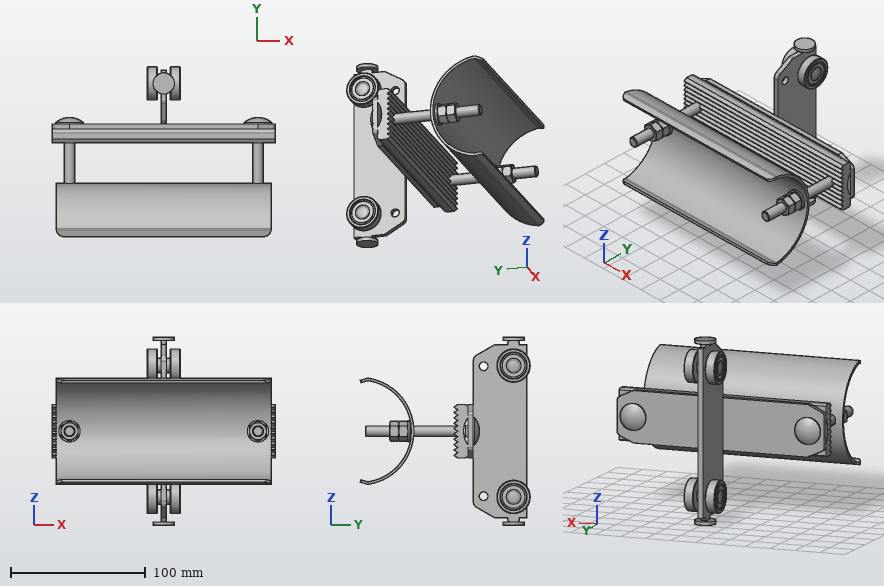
import cadquery as cq
import math


PLATE_THICKNESS = 4.0
PLATE_DEPTH = 40.0
PLATE_HALF_HEIGHT = 64.4
PLATE_FLAT_END_Y = 16.0
PLATE_SLOPE_DEG = 30
PLATE_FRONT_RADIUS = 5.0
PLATE_BEVEL_RADIUS = 3.0
PLATE_HOLE_Y = 7.8
PLATE_HOLE_Z = 48.3
PLATE_HOLE_DIAMETER = 6.3

WHEEL_Y = 30.0
WHEEL_Z = 48.8
WHEEL_RADIUS = 12.5
WHEEL_INNER_X = 4.8
WHEEL_OUTER_X = 12.3
WHEEL_EDGE_CHAMFER = 0.5
AXLE_RADIUS = 5.5
SHIELD_INNER_RADIUS = 8.5
SHIELD_OUTER_RADIUS = 10.1
SHIELD_BEVEL = 0.5
RIVET_RADIUS = 4.3
FACE_RECESS_DEPTH = 0.5

DISC_RADIUS = 8.0
DISC_THICKNESS = 2.7
OVERALL_HEIGHT = 140.0
DISC_OUTER_Z = OVERALL_HEIGHT / 2
DISC_INNER_Z = DISC_OUTER_Z - DISC_THICKNESS
STEM_WIDTH = 8.8
STEM_CORNER_RADIUS = 1.7

BAR_HALF_LENGTH = 83.0
BAR_HALF_HEIGHT = 20.0
BAR_THICKNESS = 4.0
BAR_CORNER_LENGTH = 13.0
BAR_CORNER_DROP = 6.0
BAR_CORNER_RADIUS = 3.0

PAD_TIP_Y = -14.1
TOOTH_COUNT = 10
TOOTH_PITCH = 2 * BAR_HALF_HEIGHT / TOOTH_COUNT
TOOTH_DEPTH = 2.7
TOOTH_TIP_WIDTH = 0.5
PAD_BACK_ROUND_RADIUS = 4.0
PAD_BACK_ROUND_LENGTH = 2.8
PAD_BACK_ROUND_DROP = 1.2
CHANNEL_HALF_WIDTH = 9.8
CHANNEL_DEPTH = 3.2

BOLT_X = BAR_HALF_LENGTH - BAR_CORNER_LENGTH
BOLT_DIAMETER = 8.1
BOLT_LENGTH = 80.2
BOLT_CHAMFER = 0.7
HEAD_RADIUS = 10.3
HEAD_HEIGHT = 4.8
HEAD_RIM = 1.0
NECK_WIDTH = 8.6
NECK_LENGTH = 5.6
NECK_CORNER_RADIUS = 1.5
WASHER_RADIUS = 8.0
WASHER_THICKNESS = 1.7
NUT_WIDTH = 13.0
NUT_HEIGHT = 6.8
NUT_COUNT = 2
NUT_FACE_RADIUS = 6.3
NUT_CHAMFER_DEG = 30

SHELL_HALF_LENGTH = 80.0
SHELL_RADIUS = 40.0
SHELL_THICKNESS = 2.0
SHELL_AXIS_Y = -84.0
SHELL_ARC_END_DEG = 8
LIP_DROOP_DEG = 17
LIP_BEND_RADIUS = 3.0
LIP_CORNER_RADIUS = 6.0
SHELL_HOLE_DIAMETER = 9.0

SIDES = (-1, 1)


def cylinder_along_y(radius, start_y, length, x=0):
    """Cylinder on the mid-height plane that runs from start_y toward -Y."""
    return cq.Workplane("XZ", origin=(x, start_y, 0)).circle(radius).extrude(length)


def make_trolley_plate():
    """Plate with bevelled front corners and a stem for a guide disc at each end."""
    front_z = PLATE_HALF_HEIGHT - PLATE_FLAT_END_Y * math.tan(math.radians(PLATE_SLOPE_DEG))
    stem_front_y = WHEEL_Y - STEM_WIDTH / 2
    stem_back_y = WHEEL_Y + STEM_WIDTH / 2
    upper_outline = [
        (PLATE_DEPTH, PLATE_HALF_HEIGHT),
        (stem_back_y, PLATE_HALF_HEIGHT),
        (stem_back_y, DISC_INNER_Z),
        (stem_front_y, DISC_INNER_Z),
        (stem_front_y, PLATE_HALF_HEIGHT),
        (PLATE_FLAT_END_Y, PLATE_HALF_HEIGHT),
        (0, front_z),
    ]
    lower_outline = [(y, -z) for y, z in reversed(upper_outline)]
    plate = (
        cq.Workplane("YZ")
        .polyline(upper_outline + lower_outline)
        .close()
        .extrude(PLATE_THICKNESS / 2, both=True)
    )
    plate = plate.edges("|X").edges("<Y").fillet(PLATE_FRONT_RADIUS)
    for side in SIDES:
        bevel_end = cq.selectors.NearestToPointSelector(
            (0, PLATE_FLAT_END_Y, side * PLATE_HALF_HEIGHT)
        )
        plate = plate.edges("|X").edges(bevel_end).fillet(PLATE_BEVEL_RADIUS)
    plate = plate.edges("|X").edges("<Z or >Z").fillet(STEM_CORNER_RADIUS)
    holes = (
        cq.Workplane("YZ")
        .pushPoints([(PLATE_HOLE_Y, side * PLATE_HOLE_Z) for side in SIDES])
        .circle(PLATE_HOLE_DIAMETER / 2)
        .extrude(PLATE_THICKNESS, both=True)
    )
    return plate.cut(holes)


def make_wheel_pair():
    """Two wheels on one axle, centred on the X axis."""
    face_x = WHEEL_OUTER_X
    recess_x = WHEEL_OUTER_X - FACE_RECESS_DEPTH
    shoulder = WHEEL_RADIUS - WHEEL_EDGE_CHAMFER
    dome_radius = (RIVET_RADIUS**2 + FACE_RECESS_DEPTH**2) / (2 * FACE_RECESS_DEPTH)
    half_section = (
        cq.Workplane("XY")
        .moveTo(0, 0)
        .lineTo(face_x, 0)
        .radiusArc((recess_x, RIVET_RADIUS), -dome_radius)
        .lineTo(recess_x, AXLE_RADIUS)
        .lineTo(face_x, AXLE_RADIUS)
        .lineTo(face_x, SHIELD_INNER_RADIUS)
        .lineTo(recess_x, SHIELD_INNER_RADIUS)
        .lineTo(recess_x, SHIELD_OUTER_RADIUS - SHIELD_BEVEL)
        .lineTo(face_x, SHIELD_OUTER_RADIUS)
        .lineTo(face_x, shoulder)
        .lineTo(face_x - WHEEL_EDGE_CHAMFER, WHEEL_RADIUS)
        .lineTo(WHEEL_INNER_X + WHEEL_EDGE_CHAMFER, WHEEL_RADIUS)
        .lineTo(WHEEL_INNER_X, shoulder)
        .lineTo(WHEEL_INNER_X, AXLE_RADIUS)
        .lineTo(0, AXLE_RADIUS)
        .close()
    )
    wheel = half_section.revolve(360, (0, 0, 0), (1, 0, 0))
    return wheel.union(wheel.mirror("YZ"))


def make_guide_disc():
    """Guide disc on the upper stem of the trolley plate."""
    return (
        cq.Workplane("XY", origin=(0, WHEEL_Y, DISC_INNER_Z))
        .circle(DISC_RADIUS)
        .extrude(DISC_THICKNESS)
    )


def make_crossbar():
    corner_z = BAR_HALF_HEIGHT - BAR_CORNER_DROP
    outline = []
    for side_x, side_z in ((1, 1), (1, -1), (-1, -1), (-1, 1)):
        sloped_corner = [
            (side_x * BOLT_X, side_z * BAR_HALF_HEIGHT),
            (side_x * BAR_HALF_LENGTH, side_z * corner_z),
        ]
        outline += sloped_corner if side_x == side_z else sloped_corner[::-1]
    bar = cq.Workplane("XZ").polyline(outline).close().extrude(BAR_THICKNESS)
    end_edges = bar.edges("|Y").edges("<X or >X")
    return end_edges.fillet(BAR_CORNER_RADIUS)


def make_pad():
    back_y = -BAR_THICKNESS
    root_y = PAD_TIP_Y + TOOTH_DEPTH
    round_end_y = back_y - PAD_BACK_ROUND_LENGTH
    back_z = BAR_HALF_HEIGHT - PAD_BACK_ROUND_DROP
    profile = (
        cq.Workplane("YZ")
        .moveTo(back_y, back_z)
        .radiusArc((round_end_y, BAR_HALF_HEIGHT), -PAD_BACK_ROUND_RADIUS)
        .lineTo(root_y, BAR_HALF_HEIGHT)
    )
    for tooth in range(TOOTH_COUNT):
        tooth_top_z = BAR_HALF_HEIGHT - tooth * TOOTH_PITCH
        tip_z = tooth_top_z - TOOTH_PITCH / 2
        profile = profile.lineTo(PAD_TIP_Y, tip_z + TOOTH_TIP_WIDTH / 2)
        profile = profile.lineTo(PAD_TIP_Y, tip_z - TOOTH_TIP_WIDTH / 2)
        profile = profile.lineTo(root_y, tooth_top_z - TOOTH_PITCH)
    profile = (
        profile.lineTo(round_end_y, -BAR_HALF_HEIGHT)
        .radiusArc((back_y, -back_z), -PAD_BACK_ROUND_RADIUS)
        .lineTo(back_y, -CHANNEL_HALF_WIDTH)
        .threePointArc((back_y - CHANNEL_DEPTH, 0), (back_y, CHANNEL_HALF_WIDTH))
        .close()
    )
    return profile.extrude(BAR_HALF_LENGTH, both=True)


def make_bolt():
    """Carriage bolt at X = 0, its head resting on the back of the crossbar."""
    shank = cylinder_along_y(BOLT_DIAMETER / 2, 0, BOLT_LENGTH).faces("<Y").chamfer(BOLT_CHAMFER)
    neck = (
        cq.Workplane("XZ")
        .rect(NECK_WIDTH, NECK_WIDTH)
        .extrude(NECK_LENGTH)
        .edges("|Y")
        .fillet(NECK_CORNER_RADIUS)
    )
    crown = HEAD_HEIGHT - HEAD_RIM
    crown_radius = (HEAD_RADIUS**2 + crown**2) / (2 * crown)
    head = (
        cq.Workplane("XY")
        .lineTo(HEAD_RADIUS, 0)
        .lineTo(HEAD_RADIUS, HEAD_RIM)
        .radiusArc((0, HEAD_HEIGHT), -crown_radius)
        .close()
        .revolve(360, (0, 0, 0), (0, 1, 0))
    )
    return shank.union(neck).union(head)


def make_nut(back_y):
    """Hexagon nut with corners up and down, chamfered at both ends."""
    corner_radius = NUT_WIDTH / math.sqrt(3)
    corner_drop = (corner_radius - NUT_FACE_RADIUS) * math.tan(math.radians(NUT_CHAMFER_DEG))
    front_y = back_y - NUT_HEIGHT
    hexagon = (
        cq.Workplane("XZ", origin=(0, back_y, 0))
        .polygon(6, 2 * corner_radius)
        .extrude(NUT_HEIGHT)
        .rotate((0, 0, 0), (0, 1, 0), 30)
    )
    chamfer_envelope = (
        cq.Workplane("XY")
        .polyline(
            [
                (0, back_y),
                (NUT_FACE_RADIUS, back_y),
                (corner_radius, back_y - corner_drop),
                (corner_radius, front_y + corner_drop),
                (NUT_FACE_RADIUS, front_y),
                (0, front_y),
            ]
        )
        .close()
        .revolve(360, (0, 0, 0), (0, 1, 0))
    )
    return hexagon.intersect(chamfer_envelope)


def make_fastener():
    """Bolt with its washer and nuts; the washer rim just reaches the inside of the shell."""
    inner_radius = SHELL_RADIUS - SHELL_THICKNESS
    washer_y = SHELL_AXIS_Y + math.sqrt(inner_radius**2 - WASHER_RADIUS**2)
    fastener = make_bolt().union(cylinder_along_y(WASHER_RADIUS, washer_y, WASHER_THICKNESS))
    for index in range(NUT_COUNT):
        nut_y = washer_y - WASHER_THICKNESS - index * NUT_HEIGHT
        fastener = fastener.union(make_nut(nut_y))
    return fastener


def make_carriage():
    """Trolley, crossbar, pad and fasteners, which form one body."""
    carriage = make_crossbar().union(make_pad()).union(make_trolley_plate())
    guide_disc = make_guide_disc()
    carriage = carriage.union(guide_disc).union(guide_disc.mirror("XY"))
    wheel_pair = make_wheel_pair()
    fastener = make_fastener()
    for side in SIDES:
        carriage = carriage.union(wheel_pair.translate((0, WHEEL_Y, side * WHEEL_Z)))
        carriage = carriage.union(fastener.translate((side * BOLT_X, 0, 0)))
    return carriage


def make_clamp_shell():
    """Half-round shell with bent lips, bored with clearance for the bolts."""
    arc_end = math.radians(SHELL_ARC_END_DEG)
    droop = math.radians(LIP_DROOP_DEG)
    inner_radius = SHELL_RADIUS - SHELL_THICKNESS

    bend_y = SHELL_AXIS_Y + SHELL_RADIUS * math.sin(arc_end)
    bend_z = SHELL_RADIUS * math.cos(arc_end)
    mitre_angle = (droop - arc_end) / 2
    mitre_length = SHELL_THICKNESS / math.cos((droop + arc_end) / 2)
    inner_bend_y = bend_y + mitre_length * math.sin(mitre_angle)
    inner_bend_z = bend_z - mitre_length * math.cos(mitre_angle)
    tip_y = SHELL_AXIS_Y
    tip_z = bend_z - (bend_y - tip_y) * math.tan(droop)
    inner_tip_y = tip_y + SHELL_THICKNESS * math.sin(droop)
    inner_tip_z = tip_z - SHELL_THICKNESS * math.cos(droop)

    shell = (
        cq.Workplane("YZ")
        .moveTo(tip_y, tip_z)
        .lineTo(bend_y, bend_z)
        .threePointArc((SHELL_AXIS_Y + SHELL_RADIUS, 0), (bend_y, -bend_z))
        .lineTo(tip_y, -tip_z)
        .lineTo(inner_tip_y, -inner_tip_z)
        .lineTo(inner_bend_y, -inner_bend_z)
        .threePointArc((SHELL_AXIS_Y + inner_radius, 0), (inner_bend_y, inner_bend_z))
        .lineTo(inner_tip_y, inner_tip_z)
        .close()
        .extrude(SHELL_HALF_LENGTH, both=True)
    )
    for side in SIDES:
        outer_bend = cq.selectors.NearestToPointSelector((0, bend_y, side * bend_z))
        shell = shell.edges("|X").edges(outer_bend).fillet(LIP_BEND_RADIUS)
        inner_bend = cq.selectors.NearestToPointSelector((0, inner_bend_y, side * inner_bend_z))
        shell = shell.edges("|X").edges(inner_bend).fillet(LIP_BEND_RADIUS - SHELL_THICKNESS)

    rounded_blank = (
        cq.Workplane("XY", origin=(0, SHELL_AXIS_Y + SHELL_RADIUS / 2, 0))
        .rect(2 * SHELL_HALF_LENGTH, SHELL_RADIUS)
        .extrude(SHELL_RADIUS, both=True)
        .edges("|Z and <Y")
        .fillet(LIP_CORNER_RADIUS)
    )
    shell = shell.intersect(rounded_blank)

    for side in SIDES:
        hole = cylinder_along_y(SHELL_HOLE_DIAMETER / 2, 0, -SHELL_AXIS_Y, side * BOLT_X)
        shell = shell.cut(hole)
    return shell


carriage = make_carriage()
clamp_shell = make_clamp_shell()

result = cq.Compound.makeCompound([carriage.solids().val(), clamp_shell.solids().val()])